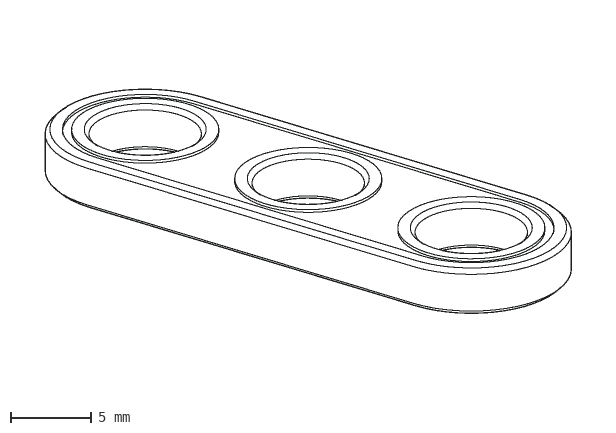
import cadquery as cq

length = 37.5
width = length / 3
thickness = width / 4
edge_chamfer = 0.3

hole_count = 3
hole_pitch = (length - width) / (hole_count - 1)
hole_diameter = 7.0
hole_chamfer = 0.3
collar_diameter = 9.2

rim_width = 1.1
recess_depth = 0.2

hole_centres = [((i - (hole_count - 1) / 2) * hole_pitch, 0) for i in range(hole_count)]


def make_bar():
    """Round-ended bar standing on Z = 0, chamfered around both faces."""
    bar = cq.Workplane("XY").slot2D(length, width).extrude(thickness)
    return bar.faces("<Z or >Z").edges().chamfer(edge_chamfer)


def make_recess():
    """Material removed between the rim and the hole collars."""
    floor = cq.Workplane("XY").workplane(offset=thickness - recess_depth)
    pocket = floor.slot2D(length - 2 * rim_width, width - 2 * rim_width).extrude(recess_depth)
    collars = floor.pushPoints(hole_centres).circle(collar_diameter / 2).extrude(recess_depth)
    return pocket.cut(collars)


def make_hole(centre):
    """Through-hole cutter with a chamfered mouth at both faces."""
    radius = hole_diameter / 2
    mouth_radius = radius + hole_chamfer
    profile = (
        cq.Workplane("XZ")
        .moveTo(0, 0)
        .lineTo(mouth_radius, 0)
        .lineTo(radius, hole_chamfer)
        .lineTo(radius, thickness - hole_chamfer)
        .lineTo(mouth_radius, thickness)
        .lineTo(0, thickness)
        .close()
    )
    return profile.revolve(360, (0, 0, 0), (0, 1, 0)).translate((*centre, 0))


result = make_bar().cut(make_recess())
for hole_centre in hole_centres:
    result = result.cut(make_hole(hole_centre))